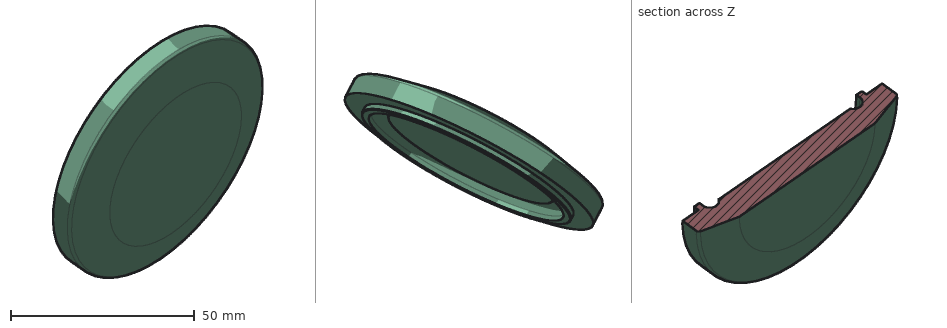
import cadquery as cq
import math

total_thickness = 11.5
rim_radius = 38.0
rim_front = 1.75
rim_back = 7.2
edge_radius = 1.0
back_face_radius = 25.8

lip_radius = 32.0
lip_chamfer = 0.2

recess_radius = 29.8
wall_depth = 1.45
groove_radius = 2.5
floor_radius = 25.1

groove_center = recess_radius - groove_radius
groove_bottom = wall_depth + groove_radius
floor_depth = wall_depth + math.sqrt(groove_radius**2 - (groove_center - floor_radius) ** 2)

edge_center = rim_radius - edge_radius
back_length = total_thickness - rim_back
back_drop = edge_center - back_face_radius
cone_turn = math.atan2(back_drop, back_length) + math.asin(edge_radius / math.hypot(back_length, back_drop))


def edge_point(angle):
    """Point of the rounded edge after turning by angle from the outer wall."""
    return (rim_back + edge_radius * math.sin(angle), edge_center + edge_radius * math.cos(angle))


half_section = (
    cq.Workplane("XZ")
    .moveTo(floor_depth, 0)
    .lineTo(floor_depth, floor_radius)
    .threePointArc((groove_bottom, groove_center), (wall_depth, recess_radius))
    .lineTo(0, recess_radius)
    .lineTo(0, lip_radius - lip_chamfer)
    .lineTo(lip_chamfer, lip_radius)
    .lineTo(rim_front, lip_radius)
    .lineTo(rim_front, rim_radius)
    .lineTo(rim_back, rim_radius)
    .threePointArc(edge_point(cone_turn / 2), edge_point(cone_turn))
    .lineTo(total_thickness, back_face_radius)
    .lineTo(total_thickness, 0)
    .close()
)

result = half_section.revolve(360, (0, 0, 0), (1, 0, 0))